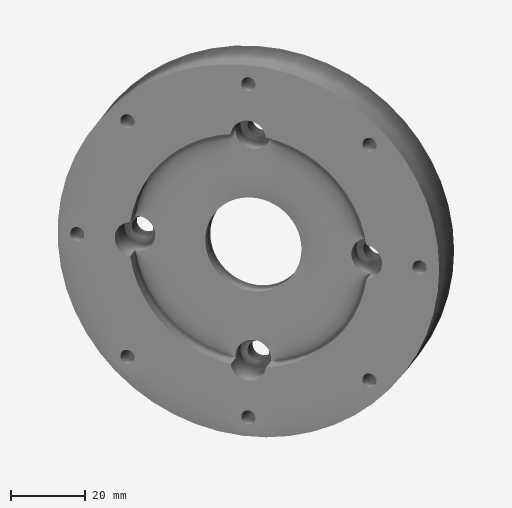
import cadquery as cq

disc_diameter = 107.0
disc_thickness = 15.0
bore_diameter = 27.0

recess_diameter = 67.0
recess_depth = 5.0

web_thickness = 5.0
rear_recess_diameter = 55.0

screw_count = 4
screw_circle_diameter = 65.0
screw_hole_diameter = 6.0
counterbore_diameter = 10.0
counterbore_depth = 10.0

rim_hole_count = 8
rim_circle_diameter = 96.0
rim_hole_diameter = 4.0


def front_plane():
    """Workplane on the front face, whose normal points toward -Y."""
    return cq.Workplane("XZ", origin=(0, -disc_thickness / 2, 0))


def cylinder(diameter, depth):
    """Round cutter on the disc axis, reaching back from the front face."""
    return front_plane().circle(diameter / 2).extrude(-depth)


def cylinder_ring(count, circle_diameter, diameter, depth):
    """Equally spaced round cutters, the first one on the +X side."""
    ring = front_plane().polarArray(circle_diameter / 2, 0, 360, count)
    return ring.circle(diameter / 2).extrude(-depth)


disc = cylinder(disc_diameter, disc_thickness)
disc = disc.cut(cylinder(bore_diameter, disc_thickness))
disc = disc.cut(cylinder(recess_diameter, recess_depth))

rear_recess_depth = disc_thickness - recess_depth - web_thickness
rear_plane = cq.Workplane("XZ", origin=(0, disc_thickness / 2, 0))
disc = disc.cut(rear_plane.circle(rear_recess_diameter / 2).extrude(rear_recess_depth))

disc = disc.cut(cylinder_ring(screw_count, screw_circle_diameter, screw_hole_diameter, disc_thickness))
disc = disc.cut(cylinder_ring(screw_count, screw_circle_diameter, counterbore_diameter, counterbore_depth))

result = disc.cut(cylinder_ring(rim_hole_count, rim_circle_diameter, rim_hole_diameter, disc_thickness))